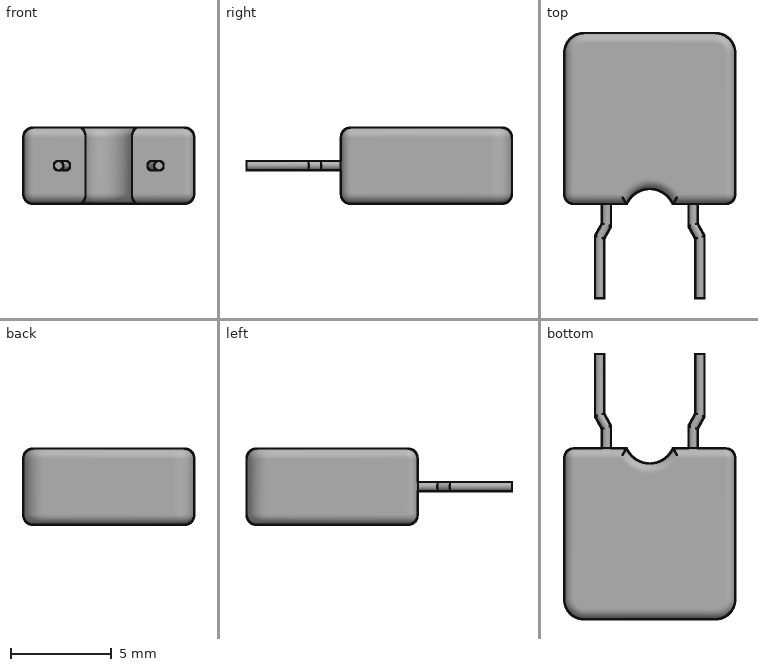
import cadquery as cq

body_side = 8.5
body_height = 3.8
edge_radius = 0.5
front_corner_radius = edge_radius
back_corner_radius = 2 * edge_radius

notch_radius = 1.25
notch_center_offset = 0.5

total_length = 13.18
lead_diameter = 0.47
lead_root_x = 2.15
lead_tip_x = 2.49
jog_start = 1.03
jog_end = 1.65
lead_embedment = 0.66

front_y = -body_side / 2
tip_y = front_y - (total_length - body_side)


def make_body():
    block = cq.Workplane("XY").box(body_side, body_side, body_height)
    block = block.edges("|Z and >Y").fillet(back_corner_radius)
    block = block.edges("|Z and <Y").fillet(front_corner_radius)
    notch = (
        cq.Workplane("XY")
        .center(0, front_y - notch_center_offset)
        .circle(notch_radius)
        .extrude(body_height, both=True)
    )
    return block.cut(notch).faces("|Z").edges().fillet(edge_radius)


def make_lead(side):
    """Sweep one round wire; side is -1 for the left lead and 1 for the right."""
    root_y = front_y + lead_embedment
    path = cq.Workplane("XY").polyline([
        (side * lead_root_x, root_y),
        (side * lead_root_x, front_y - jog_start),
        (side * lead_tip_x, front_y - jog_end),
        (side * lead_tip_x, tip_y),
    ])
    profile = cq.Workplane("XZ", origin=(side * lead_root_x, root_y, 0)).circle(lead_diameter / 2)
    return profile.sweep(path, transition="right")


result = make_body()
for side in (-1, 1):
    result = result.union(make_lead(side))